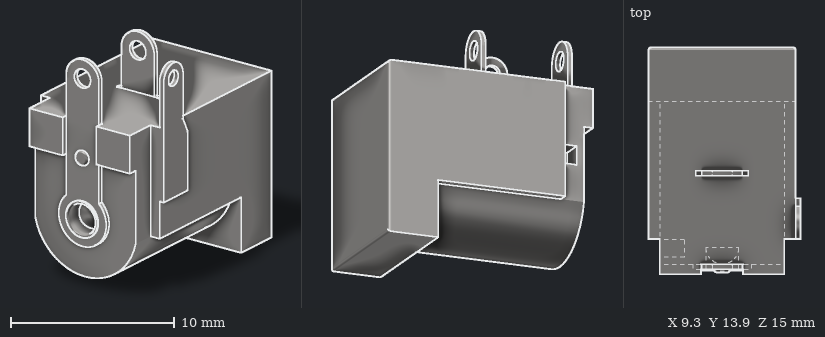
import cadquery as cq
import math


TOTAL_HEIGHT = 15.01
LENGTH = 13.9
BODY_WIDTH = 9.0
BODY_TOP = 11.0
FLANGE_THICKNESS = 3.3
EDGE_ROUND = 0.2
AXIS_Z = 4.5
BARREL_RADIUS = 3.9

NOSE_WIDTH = 7.63
SHOULDER_Y = 2.15
NOSE_FACE_Y = 0.6
BLOCK_HEIGHT = 2.5
BLOCK_GAP = 2.55

POCKET_BOTTOM = 6.0
POCKET_HEIGHT = 1.2
POCKET_FRONT_Y = 1.08
POCKET_DEPTH = 1.5

SHEET = 0.3
TAB_WIDTH = 2.49
TAB_HOLE_DIAMETER = 1.23
DISC_RADIUS = 1.8
REAR_TAB_Y = 6.03
SLOT_WIDTH = 3.21
SLOT_DEPTH = 2.5
SIDE_TAB_WIDTH = 2.01
SIDE_TAB_HOLE_DIAMETER = 1.0
SIDE_PLATE_WIDTH = 2.5
SIDE_PLATE_BOTTOM = 6.12
SIDE_PLATE_TAPER = 1.0

COLLAR_RADIUS = 1.2
COLLAR_HEIGHT = 0.09
BORE_RADIUS = 1.0
BORE_MOUTH_ROUND = 0.09
PIN_BASE_Y = 1.65
STUD_RADIUS = 0.5
STUD_HEIGHT = 0.2
STUD_ROUND = 0.18
STUD_Z = 8.54

TERMINAL_FACE_Y = NOSE_FACE_Y - SHEET
COLLAR_FACE_Y = TERMINAL_FACE_Y - COLLAR_HEIGHT


def box(x_min, x_max, y_min, y_max, z_min, z_max):
    """Box given by its limits along each axis."""
    size = (x_max - x_min, y_max - y_min, z_max - z_min)
    return cq.Workplane("XY").box(*size, centered=False).translate((x_min, y_min, z_min))


def disc(radius, y_min, y_max, z):
    """Cylinder along Y, centred on X = 0."""
    return cq.Workplane("XZ", origin=(0, y_min, z)).circle(radius).extrude(y_min - y_max)


def tab(width, hole_diameter, bottom):
    """Upright round-topped tab with a hole, centred on X = 0, its front face on Y = 0."""
    half = width / 2
    eye_z = TOTAL_HEIGHT - half
    blank = (
        cq.Workplane("XZ")
        .moveTo(-half, bottom)
        .lineTo(-half, eye_z)
        .threePointArc((0, TOTAL_HEIGHT), (half, eye_z))
        .lineTo(half, bottom)
        .close()
        .extrude(-SHEET)
    )
    return blank.cut(disc(hole_diameter / 2, 0, SHEET, eye_z))


def make_housing():
    half = BODY_WIDTH / 2
    flange_y = LENGTH - FLANGE_THICKNESS
    flange = box(-half, half, flange_y, LENGTH, 0, BODY_TOP).faces(">Y").edges().fillet(EDGE_ROUND)

    half_nose = NOSE_WIDTH / 2
    arc_end_z = AXIS_Z - math.sqrt(BARREL_RADIUS**2 - half_nose**2)
    body = box(-half, half, SHOULDER_Y, flange_y, arc_end_z, BODY_TOP)

    nose = (
        cq.Workplane("XZ", origin=(0, NOSE_FACE_Y, 0))
        .moveTo(-half_nose, BODY_TOP)
        .lineTo(-half_nose, arc_end_z)
        .threePointArc((0, AXIS_Z - BARREL_RADIUS), (half_nose, arc_end_z))
        .lineTo(half_nose, BODY_TOP)
        .close()
        .extrude(NOSE_FACE_Y - flange_y)
    )

    block_bottom = BODY_TOP - BLOCK_HEIGHT
    blocks = box(-half_nose, half_nose, 0, NOSE_FACE_Y, block_bottom, BODY_TOP)
    blocks = blocks.cut(box(-BLOCK_GAP / 2, BLOCK_GAP / 2, 0, NOSE_FACE_Y, block_bottom, BODY_TOP))

    pocket = box(
        -half_nose,
        -half_nose + POCKET_DEPTH,
        POCKET_FRONT_Y,
        SHOULDER_Y,
        POCKET_BOTTOM,
        POCKET_BOTTOM + POCKET_HEIGHT,
    )
    slot = box(
        -SLOT_WIDTH / 2,
        SLOT_WIDTH / 2,
        REAR_TAB_Y,
        REAR_TAB_Y + SHEET,
        BODY_TOP - SLOT_DEPTH,
        BODY_TOP,
    )
    return flange.union(body).union(nose).union(blocks).cut(pocket).cut(slot)


def make_front_terminal():
    """Keyhole-shaped terminal with the raised contact collar and the rivet stud."""
    blade = tab(TAB_WIDTH, TAB_HOLE_DIAMETER, AXIS_Z).translate((0, TERMINAL_FACE_Y, 0))
    eye = disc(DISC_RADIUS, TERMINAL_FACE_Y, NOSE_FACE_Y, AXIS_Z)
    collar = disc(COLLAR_RADIUS, COLLAR_FACE_Y, TERMINAL_FACE_Y, AXIS_Z)
    stud = disc(STUD_RADIUS, TERMINAL_FACE_Y - STUD_HEIGHT, TERMINAL_FACE_Y, STUD_Z)
    stud = stud.faces("<Y").edges().fillet(STUD_ROUND)
    return blade.union(eye).union(collar).union(stud)


def make_rear_terminal():
    return tab(TAB_WIDTH, TAB_HOLE_DIAMETER, BODY_TOP - SLOT_DEPTH).translate((0, REAR_TAB_Y, 0))


def make_side_terminal():
    """Terminal lying on the right side of the body, wider below the body top."""
    wide_y = SHOULDER_Y + SIDE_PLATE_WIDTH
    narrow_y = SHOULDER_Y + SIDE_TAB_WIDTH
    plate = (
        cq.Workplane("YZ", origin=(BODY_WIDTH / 2, 0, 0))
        .moveTo(SHOULDER_Y, SIDE_PLATE_BOTTOM)
        .lineTo(wide_y, SIDE_PLATE_BOTTOM)
        .lineTo(wide_y, BODY_TOP - SIDE_PLATE_TAPER)
        .lineTo(narrow_y, BODY_TOP)
        .lineTo(SHOULDER_Y, BODY_TOP)
        .close()
        .extrude(SHEET)
    )
    blade = tab(SIDE_TAB_WIDTH, SIDE_TAB_HOLE_DIAMETER, BODY_TOP).rotate((0, 0, 0), (0, 0, 1), 90)
    blade_centre_y = SHOULDER_Y + SIDE_TAB_WIDTH / 2
    return plate.union(blade.translate((BODY_WIDTH / 2 + SHEET, blade_centre_y, 0)))


def make_bore():
    """Bore of the centre contact, rounded at its mouth and closed by a domed pin end."""
    mouth_radius = BORE_RADIUS + BORE_MOUTH_ROUND
    mouth_end_y = COLLAR_FACE_Y + BORE_MOUTH_ROUND
    arc_offset = BORE_MOUTH_ROUND * math.sqrt(0.5)
    dome_offset = BORE_RADIUS * math.sqrt(0.5)
    half_section = (
        cq.Workplane("XY")
        .moveTo(0, COLLAR_FACE_Y)
        .lineTo(mouth_radius, COLLAR_FACE_Y)
        .threePointArc(
            (mouth_radius - arc_offset, mouth_end_y - arc_offset),
            (BORE_RADIUS, mouth_end_y),
        )
        .lineTo(BORE_RADIUS, PIN_BASE_Y)
        .threePointArc((dome_offset, PIN_BASE_Y - dome_offset), (0, PIN_BASE_Y - BORE_RADIUS))
        .close()
    )
    return half_section.revolve(360, (0, 0, 0), (0, 1, 0)).translate((0, 0, AXIS_Z))


result = (
    make_housing()
    .union(make_front_terminal())
    .union(make_rear_terminal())
    .union(make_side_terminal())
    .cut(make_bore())
)